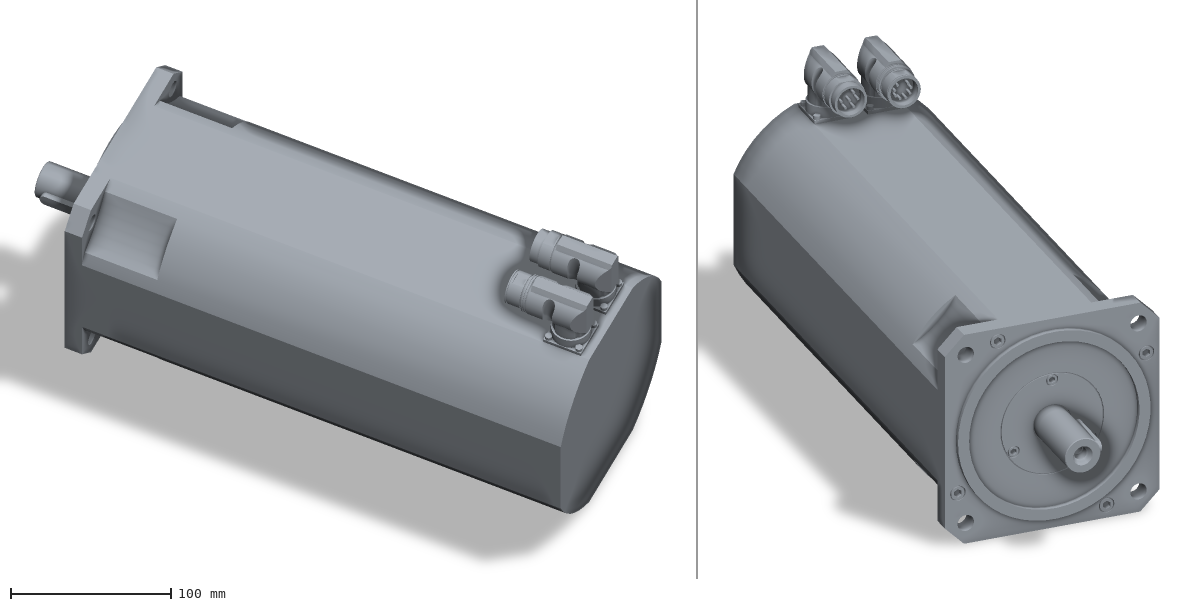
import math

import cadquery as cq


FLANGE_SIDE = 145.0
FLANGE_THICKNESS = 12.0
FLANGE_CORNER_CHAMFER = 13.0
BODY_END_X = 343.0
BODY_ROUND_DIAMETER = 158.0
HALF_SIDE = FLANGE_SIDE / 2

BOLT_CIRCLE_DIAMETER = 165.0
BOLT_HOLE_DIAMETER = 11.0
POCKET_LENGTH = 50.0
POCKET_CHORD = 40.6
POCKET_FLOOR_RADIUS = 65.0

PILOT_DIAMETER = 130.0
PILOT_HEIGHT = 3.5
PILOT_RECESS_DIAMETER = 115.0
COVER_DIAMETER = 70.0
COVER_GAP = 0.8
COVER_GAP_DEPTH = 1.0
SEAL_GAP_DIAMETER = 26.0

HEAD_GAP_DEPTH = 1.5
HEAD_GAP_WIDTH = 0.8
SOCKET_DEPTH = 3.0
FLANGE_SCREW_RADIUS = 73.5
FLANGE_SCREW_START_ANGLE = 60.0
FLANGE_SCREW_BORE = 10.5
FLANGE_SCREW_SOCKET = 5.0
COVER_SCREW_RADIUS = 30.0
COVER_SCREW_START_ANGLE = 90.0
COVER_SCREW_BORE = 8.2
COVER_SCREW_SOCKET = 4.0

SHAFT_DIAMETER = 24.0
SHAFT_LENGTH = 50.0
SHAFT_TIP_CHAMFER = 0.5
KEY_LENGTH = 40.0
KEY_WIDTH = 8.0
KEY_REACH = 15.0
KEY_TO_FLANGE = 5.0
CENTRE_CONE_DIAMETER = 13.0
CENTRE_CONE_DEPTH = 4.0
CENTRE_BORE_DIAMETER = 8.4
CENTRE_BORE_DEPTH = 10.0
CENTRE_THREAD_DIAMETER = 6.8
CENTRE_THREAD_DEPTH = 25.0

PART_TOP_Z = 112.72
CONNECTOR_X = 324.0
CONNECTOR_Y = 18.0
CONNECTOR_AXIS_Z = 98.4
BASE_SIDE = 26.0
BASE_HEIGHT = 2.4
RING_DIAMETER = 25.4
RING_HEIGHT = 7.1
NECK_DIAMETER = 23.0
HOUSING_DIAMETER = 25.4
HOUSING_FRONT_X = 299.0
HOUSING_BACK_X = CONNECTOR_X + BASE_SIDE / 2
HOUSING_BACK_CHAMFER = 7.6
RIDGE_TOP_WIDTH = 8.0
RIDGE_FOOT_WIDTH = 12.8
BASE_SCREW_OFFSET = 10.5
BASE_SCREW_DIAMETER = 4.5
BASE_SCREW_HEIGHT = 2.5
ACCESS_GROOVE_DIAMETER = 7.8

PLUG_TIP_X = 283.2
PLUG_FLAT_WIDTH = 9.6
PLUG_GROOVE_DEPTH = 0.6
PLUG_GROOVE_WIDTH = 0.8
COLLAR_START_X = 295.0
COLLAR_DIAMETER = 24.6
THREAD_DIAMETER = 22.2
POWER_NOSE_DIAMETER = 21.8
POWER_SLEEVE_START_X = 289.5
POWER_SLEEVE_DIAMETER = 24.4
SOCKET_BORE_DIAMETER = 18.5
SOCKET_BORE_DEPTH = 8.0
PIN_DIAMETER = 1.8
PIN_LENGTH = 6.0
PIN_CIRCLE_RADIUS = 5.6


def rod(x_start, x_end, diameter, y=0.0, z=0.0):
    """Round bar parallel to X."""
    plane = cq.Workplane("YZ", origin=(x_start, y, z))
    return plane.circle(diameter / 2).extrude(x_end - x_start)


def ring_groove(x_start, x_end, outer_diameter, inner_diameter, y=0.0, z=0.0):
    """Tubular cutter parallel to X."""
    outer = rod(x_start, x_end, outer_diameter, y, z)
    return outer.cut(rod(x_start, x_end, inner_diameter, y, z))


def polar_points(radius, angles):
    """Points (y, z) on a circle round the X axis; angles run from +Y toward +Z."""
    return [
        (radius * math.cos(math.radians(angle)), radius * math.sin(math.radians(angle)))
        for angle in angles
    ]


def equal_angles(start, count):
    return [start + 360 / count * i for i in range(count)]


def make_body():
    length = BODY_END_X - FLANGE_THICKNESS
    square = cq.Workplane("YZ", origin=(FLANGE_THICKNESS, 0, 0)).rect(FLANGE_SIDE, FLANGE_SIDE)
    body = square.extrude(length).intersect(rod(FLANGE_THICKNESS, BODY_END_X, BODY_ROUND_DIAMETER))

    half_chord = POCKET_CHORD / 2
    chord_radius = math.sqrt((BODY_ROUND_DIAMETER / 2) ** 2 - half_chord**2)
    floor_centre = chord_radius + math.sqrt(POCKET_FLOOR_RADIUS**2 - half_chord**2)
    pocket_end_x = FLANGE_THICKNESS + POCKET_LENGTH
    for y, z in polar_points(floor_centre, equal_angles(45, 4)):
        body = body.cut(rod(FLANGE_THICKNESS, pocket_end_x, 2 * POCKET_FLOOR_RADIUS, y, z))
    return body


def make_flange():
    flange = cq.Workplane("YZ").rect(FLANGE_SIDE, FLANGE_SIDE).extrude(FLANGE_THICKNESS)
    flange = flange.edges("|X").chamfer(FLANGE_CORNER_CHAMFER)
    for y, z in polar_points(BOLT_CIRCLE_DIAMETER / 2, equal_angles(45, 4)):
        flange = flange.cut(rod(0, FLANGE_THICKNESS, BOLT_HOLE_DIAMETER, y, z))
    return flange.union(ring_groove(-PILOT_HEIGHT, 0, PILOT_DIAMETER, PILOT_RECESS_DIAMETER))


def cut_sunk_screws(solid, points, bore, socket):
    """Cut the ring gap and the hex socket of flush screws in the face at X = 0."""
    for y, z in points:
        solid = solid.cut(ring_groove(0, HEAD_GAP_DEPTH, bore, bore - 2 * HEAD_GAP_WIDTH, y, z))
        hexagon = cq.Workplane("YZ", origin=(0, y, z)).polygon(6, socket, circumscribed=True)
        solid = solid.cut(hexagon.extrude(SOCKET_DEPTH))
    return solid


def cut_front_details(solid):
    cover_inner = COVER_DIAMETER - 2 * COVER_GAP
    solid = solid.cut(ring_groove(0, COVER_GAP_DEPTH, COVER_DIAMETER, cover_inner))
    solid = solid.cut(ring_groove(0, COVER_GAP_DEPTH, SEAL_GAP_DIAMETER, SHAFT_DIAMETER))

    flange_screws = polar_points(FLANGE_SCREW_RADIUS, equal_angles(FLANGE_SCREW_START_ANGLE, 4))
    solid = cut_sunk_screws(solid, flange_screws, FLANGE_SCREW_BORE, FLANGE_SCREW_SOCKET)
    cover_screws = polar_points(COVER_SCREW_RADIUS, equal_angles(COVER_SCREW_START_ANGLE, 3))
    return cut_sunk_screws(solid, cover_screws, COVER_SCREW_BORE, COVER_SCREW_SOCKET)


def make_shaft():
    tip_x = -SHAFT_LENGTH
    shaft = rod(tip_x, 0, SHAFT_DIAMETER).faces("<X").chamfer(SHAFT_TIP_CHAMFER)

    key_centre_x = -KEY_TO_FLANGE - KEY_LENGTH / 2
    key = cq.Workplane("XZ").center(key_centre_x, 0).slot2D(KEY_LENGTH, KEY_WIDTH).extrude(KEY_REACH)
    shaft = shaft.union(key)

    centre_hole = (
        cq.Workplane("XY")
        .moveTo(tip_x, 0)
        .lineTo(tip_x, CENTRE_CONE_DIAMETER / 2)
        .lineTo(tip_x + CENTRE_CONE_DEPTH, CENTRE_BORE_DIAMETER / 2)
        .lineTo(tip_x + CENTRE_BORE_DEPTH, CENTRE_BORE_DIAMETER / 2)
        .lineTo(tip_x + CENTRE_BORE_DEPTH, CENTRE_THREAD_DIAMETER / 2)
        .lineTo(tip_x + CENTRE_THREAD_DEPTH, CENTRE_THREAD_DIAMETER / 2)
        .lineTo(tip_x + CENTRE_THREAD_DEPTH, 0)
        .close()
        .revolve(360, (0, 0, 0), (1, 0, 0))
    )
    return shaft.cut(centre_hole)


def post(z_start, z_end, diameter, x, y):
    """Round bar parallel to Z."""
    plane = cq.Workplane("XY", origin=(x, y, z_start))
    return plane.circle(diameter / 2).extrude(z_end - z_start)


def make_housing(y):
    """Horizontal connector barrel with a ridge on top and bevelled back corners."""
    length = HOUSING_BACK_X - HOUSING_FRONT_X
    barrel = rod(HOUSING_FRONT_X, HOUSING_BACK_X, HOUSING_DIAMETER, y, CONNECTOR_AXIS_Z)
    ridge_top = PART_TOP_Z - CONNECTOR_AXIS_Z
    half_foot = RIDGE_FOOT_WIDTH / 2
    half_top = RIDGE_TOP_WIDTH / 2
    ridge_foot = math.sqrt((HOUSING_DIAMETER / 2) ** 2 - half_foot**2)
    ridge = (
        cq.Workplane("YZ", origin=(HOUSING_FRONT_X, y, CONNECTOR_AXIS_Z))
        .polyline([
            (-half_foot, 0),
            (half_foot, 0),
            (half_foot, ridge_foot),
            (half_top, ridge_top),
            (-half_top, ridge_top),
            (-half_foot, ridge_foot),
        ])
        .close()
        .extrude(length)
    )
    envelope = (
        cq.Workplane("XY")
        .box(length, HOUSING_DIAMETER, 2 * ridge_top)
        .edges("|Z and >X")
        .chamfer(HOUSING_BACK_CHAMFER)
        .translate((HOUSING_FRONT_X + length / 2, y, CONNECTOR_AXIS_Z))
    )
    return barrel.union(ridge).intersect(envelope)


def make_stand(y):
    """Upright part of a connector: square base, ring, neck, barrel and base screws."""
    base_top = HALF_SIDE + BASE_HEIGHT
    ring_top = base_top + RING_HEIGHT
    base = cq.Workplane("XY", origin=(CONNECTOR_X, y, HALF_SIDE)).rect(BASE_SIDE, BASE_SIDE)
    base = base.extrude(BASE_HEIGHT)
    ring = post(base_top, ring_top, RING_DIAMETER, CONNECTOR_X, y)
    neck = post(ring_top, CONNECTOR_AXIS_Z, NECK_DIAMETER, CONNECTOR_X, y)
    housing = make_housing(y)
    stand = base.union(ring)
    head_top = base_top + BASE_SCREW_HEIGHT

    for side_x in (-1, 1):
        for side_y in (-1, 1):
            screw_x = CONNECTOR_X + side_x * BASE_SCREW_OFFSET
            screw_y = y + side_y * BASE_SCREW_OFFSET
            head = post(base_top, head_top, BASE_SCREW_DIAMETER, screw_x, screw_y)
            stand = stand.union(head)
            groove = post(ring_top, PART_TOP_Z, ACCESS_GROOVE_DIAMETER, screw_x, screw_y)
            neck = neck.cut(groove)
            if side_x < 0:
                housing = housing.cut(groove)

    return stand.union(neck).union(housing)


def top_flat_cutter(x_start, x_end, diameter, y):
    """Block that leaves a flat of PLUG_FLAT_WIDTH on top of a round plug section."""
    flat_z = CONNECTOR_AXIS_Z + math.sqrt((diameter / 2) ** 2 - (PLUG_FLAT_WIDTH / 2) ** 2)
    block = cq.Workplane("XY", origin=((x_start + x_end) / 2, y, flat_z))
    return block.rect(x_end - x_start, diameter).extrude(diameter)


def cut_plug_grooves(plug, starts, diameter, y):
    for start in starts:
        end = start + PLUG_GROOVE_WIDTH
        inner = diameter - 2 * PLUG_GROOVE_DEPTH
        plug = plug.cut(ring_groove(start, end, diameter, inner, y, CONNECTOR_AXIS_Z))
    return plug


def add_pins(plug, pins, y):
    """Open the socket at the plug tip and stand the contact pins on its floor."""
    floor_x = PLUG_TIP_X + SOCKET_BORE_DEPTH
    plug = plug.cut(rod(PLUG_TIP_X, floor_x, SOCKET_BORE_DIAMETER, y, CONNECTOR_AXIS_Z))
    for pin_y, pin_z in pins:
        pin = rod(floor_x - PIN_LENGTH, floor_x, PIN_DIAMETER, y + pin_y, CONNECTOR_AXIS_Z + pin_z)
        plug = plug.union(pin)
    return plug


def make_power_plug(y):
    """Plain nose and wider sleeve; five pins of a hexagon and one in the centre."""
    nose = rod(PLUG_TIP_X, POWER_SLEEVE_START_X, POWER_NOSE_DIAMETER, y, CONNECTOR_AXIS_Z)
    sleeve = rod(POWER_SLEEVE_START_X, HOUSING_FRONT_X, POWER_SLEEVE_DIAMETER, y, CONNECTOR_AXIS_Z)
    sleeve_flat_end = HOUSING_FRONT_X - 3 * PLUG_GROOVE_WIDTH
    sleeve = sleeve.cut(
        top_flat_cutter(POWER_SLEEVE_START_X, sleeve_flat_end, POWER_SLEEVE_DIAMETER, y)
    )
    groove_start = HOUSING_FRONT_X - 2 * PLUG_GROOVE_WIDTH
    sleeve = cut_plug_grooves(sleeve, [groove_start], POWER_SLEEVE_DIAMETER, y)
    pins = [(0, 0)] + polar_points(PIN_CIRCLE_RADIUS, equal_angles(120, 6)[:5])
    return add_pins(nose.union(sleeve), pins, y)


def make_signal_plug(y):
    """Grooved nose with a flat and a collar; eight of nine equally spaced pins."""
    nose = rod(PLUG_TIP_X, COLLAR_START_X, THREAD_DIAMETER, y, CONNECTOR_AXIS_Z)
    pitch = 2 * PLUG_GROOVE_WIDTH
    tip_groove = PLUG_TIP_X + PLUG_GROOVE_WIDTH
    back_groove = COLLAR_START_X - pitch
    flat_start = tip_groove + pitch
    nose = nose.cut(top_flat_cutter(flat_start, back_groove - PLUG_GROOVE_WIDTH, THREAD_DIAMETER, y))
    nose = cut_plug_grooves(nose, [tip_groove, back_groove], THREAD_DIAMETER, y)
    collar = rod(COLLAR_START_X, HOUSING_FRONT_X, COLLAR_DIAMETER, y, CONNECTOR_AXIS_Z)
    collar_grooves = [COLLAR_START_X + PLUG_GROOVE_WIDTH, COLLAR_START_X + PLUG_GROOVE_WIDTH + pitch]
    collar = cut_plug_grooves(collar, collar_grooves, COLLAR_DIAMETER, y)
    pins = polar_points(PIN_CIRCLE_RADIUS, equal_angles(90, 9)[1:])
    return add_pins(nose.union(collar), pins, y)


motor = cut_front_details(make_flange().union(make_body())).union(make_shaft())
motor = motor.union(make_stand(CONNECTOR_Y)).union(make_power_plug(CONNECTOR_Y))
motor = motor.union(make_stand(-CONNECTOR_Y)).union(make_signal_plug(-CONNECTOR_Y))

result = motor